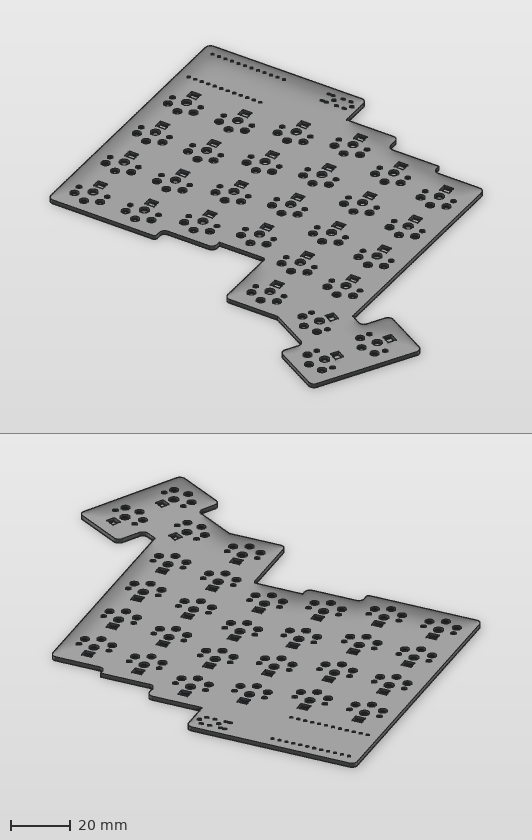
import cadquery as cq
import math

THICKNESS = 1.6
CORNER_RADIUS = 2.0
SMALL_CORNER_RADIUS = 1.0

TOP_Y = 148.39
TAB_RIGHT_X = 61.75

KEY_PITCH = 20.0
RIM = 1.0
REACH = KEY_PITCH / 2 + RIM
ROWS = 4
TOP_ROW_Y = [116.2, 116.2, 120.85, 124.35, 117.6, 114.0]
COLUMN_X = [REACH + KEY_PITCH * column for column in range(len(TOP_ROW_Y))]

UPRIGHT_THUMB = (COLUMN_X[4], 38.1)
THUMB_TILT = -30.0
NEAR_THUMB = (113.95, 32.15)
LOW_THUMB = (126.82, 14.29)

STEM_DIAMETER = 3.4
PIN_DIAMETER = 3.0
REAR_PIN_Y = -5.95
SIDE_PIN_X = 5.0
SIDE_PIN_Y = -3.75
PEG_DIAMETER = 1.9
PEG_X = 5.5
LED_Y = 4.7
LED_WIDTH = 3.6
LED_HEIGHT = 3.1

HEADER_DIAMETER = 1.09
HEADER_PITCH = 2.54
HEADER_PINS = 12
HEADER_START_X = 4.05
HEADER_LOW_Y = 129.02
HEADER_ROW_SPACING = 6 * HEADER_PITCH

JACK_AXIS_Y = 142.75
JACK_PEG_DIAMETER = 1.5
JACK_PEG_X = 59.4
JACK_PEG_SPACING = 7.0
JACK_SLOT_OFFSETS = [1.7, 4.7, 8.7, 10.25]
JACK_ROW_OFFSET = 2.2
JACK_SLOT_LENGTH = 1.5
JACK_SLOT_WIDTH = 1.0


def turned(x, y, degrees):
    """Point (x, y) turned about the origin."""
    a = math.radians(degrees)
    return (x * math.cos(a) - y * math.sin(a), x * math.sin(a) + y * math.cos(a))


def corner_arc(before, corner, after, radius):
    """Start, middle and end of the tangent arc that rounds a corner."""
    back = (before - corner).normalized()
    ahead = (after - corner).normalized()
    half_angle = back.getAngle(ahead) / 2
    setback = radius / math.tan(half_angle)
    bisector = (back + ahead).normalized()
    middle = corner + bisector * (radius / math.sin(half_angle) - radius)
    return corner + back * setback, middle, corner + ahead * setback


def rounded_outline(corners):
    """Closed wire through (point, radius) corners; a zero radius leaves the corner sharp."""
    points = [cq.Vector(*point) for point, radius in corners]
    radii = [radius for point, radius in corners]
    followers = points[1:] + points[:1]
    arcs = [
        corner_arc(points[i - 1], points[i], followers[i], radii[i])
        for i in range(len(points))
    ]
    wire = cq.Workplane("XY").moveTo(*arcs[-1][2].toTuple()[:2])
    for (start, middle, end), radius in zip(arcs, radii):
        wire = wire.lineTo(start.x, start.y)
        if radius > 0:
            wire = wire.threePointArc((middle.x, middle.y), (end.x, end.y))
    return wire.close()


def thumb_corners():
    """Outline corners around the turned thumb keys, clockwise from the plate's right edge."""
    near_x, near_y = turned(*NEAR_THUMB, -THUMB_TILT)
    low_x, low_y = turned(*LOW_THUMB, -THUMB_TILT)
    left, right = low_x - REACH, low_x + REACH
    bottom, top = low_y - REACH, low_y + KEY_PITCH + REACH
    local = [
        ((left, near_y + REACH), CORNER_RADIUS),
        ((left, top), CORNER_RADIUS),
        ((right, top), CORNER_RADIUS),
        ((right, bottom), CORNER_RADIUS),
        ((left, bottom), CORNER_RADIUS),
        ((left, near_y - REACH), CORNER_RADIUS),
    ]
    return [(turned(*point, THUMB_TILT), radius) for point, radius in local]


def plate():
    """Solid plate, its corners listed clockwise from the lower left."""
    right_of = [x + REACH for x in COLUMN_X]
    top_of = [y + REACH for y in TOP_ROW_Y]
    bottom_of = [y - (ROWS - 1) * KEY_PITCH - REACH for y in TOP_ROW_Y]
    thumb_left = UPRIGHT_THUMB[0] - REACH
    thumb_bottom = UPRIGHT_THUMB[1] - REACH
    slope = math.tan(math.radians(THUMB_TILT))
    slope_rise = REACH / math.cos(math.radians(THUMB_TILT))
    slope_top_y = NEAR_THUMB[1] + slope_rise + slope * (right_of[5] - NEAR_THUMB[0])
    slope_bottom_x = NEAR_THUMB[0] + (thumb_bottom - NEAR_THUMB[1] + slope_rise) / slope

    corners = [
        ((0, bottom_of[0]), CORNER_RADIUS),
        ((0, TOP_Y), CORNER_RADIUS),
        ((TAB_RIGHT_X, TOP_Y), CORNER_RADIUS),
        ((TAB_RIGHT_X, top_of[3]), 0),
        ((right_of[3], top_of[3]), CORNER_RADIUS),
        ((right_of[3], top_of[4]), CORNER_RADIUS),
        ((right_of[4], top_of[4]), 0),
        ((right_of[4], top_of[5]), CORNER_RADIUS),
        ((right_of[5], top_of[5]), CORNER_RADIUS),
        ((right_of[5], slope_top_y), 0),
    ]
    corners += thumb_corners()
    corners += [
        ((slope_bottom_x, thumb_bottom), 0),
        ((thumb_left, thumb_bottom), CORNER_RADIUS),
        ((thumb_left, bottom_of[3]), SMALL_CORNER_RADIUS),
        ((right_of[2], bottom_of[3]), 0),
        ((right_of[2], bottom_of[2]), CORNER_RADIUS),
        ((right_of[1], bottom_of[2]), CORNER_RADIUS),
        ((right_of[1], bottom_of[0]), SMALL_CORNER_RADIUS),
    ]
    return rounded_outline(corners).extrude(THICKNESS)


def key_places():
    """Centre and tilt of every key."""
    places = []
    for x, top_y in zip(COLUMN_X, TOP_ROW_Y):
        places += [(x, top_y - row * KEY_PITCH, 0) for row in range(ROWS)]
    places.append((*UPRIGHT_THUMB, 0))
    step_x, step_y = turned(0, KEY_PITCH, THUMB_TILT)
    high_thumb = (LOW_THUMB[0] + step_x, LOW_THUMB[1] + step_y)
    places += [(x, y, THUMB_TILT) for x, y in (NEAR_THUMB, LOW_THUMB, high_thumb)]
    return places


def round_holes(points, diameter):
    return cq.Workplane("XY").pushPoints(points).circle(diameter / 2).extrude(THICKNESS)


def switch_holes():
    """Cutter for one switch centred on the origin."""
    pins = [(0, REAR_PIN_Y), (-SIDE_PIN_X, SIDE_PIN_Y), (SIDE_PIN_X, SIDE_PIN_Y)]
    pegs = [(-PEG_X, 0), (PEG_X, 0)]
    led_window = cq.Workplane("XY").center(0, LED_Y).rect(LED_WIDTH, LED_HEIGHT).extrude(THICKNESS)
    holes = [
        round_holes([(0, 0)], STEM_DIAMETER),
        round_holes(pins, PIN_DIAMETER),
        round_holes(pegs, PEG_DIAMETER),
        led_window,
    ]
    return cq.Compound.makeCompound([hole.val() for hole in holes])


def all_switch_holes():
    switch = switch_holes()
    cutters = []
    for x, y, tilt in key_places():
        cutters.append(switch.moved(cq.Location(cq.Vector(x, y, 0), cq.Vector(0, 0, 1), tilt)))
    return cq.Workplane(cq.Compound.makeCompound(cutters))


def header_holes():
    points = []
    for pin in range(HEADER_PINS):
        x = HEADER_START_X + pin * HEADER_PITCH
        points += [(x, HEADER_LOW_Y), (x, HEADER_LOW_Y + HEADER_ROW_SPACING)]
    return round_holes(points, HEADER_DIAMETER)


def jack_pegs():
    points = [(JACK_PEG_X - JACK_PEG_SPACING * i, JACK_AXIS_Y) for i in range(2)]
    return round_holes(points, JACK_PEG_DIAMETER)


def jack_slots():
    points = []
    for offset in JACK_SLOT_OFFSETS:
        for side in (-1, 1):
            points.append((JACK_PEG_X - offset, JACK_AXIS_Y + side * JACK_ROW_OFFSET))
    sketch = cq.Workplane("XY").pushPoints(points)
    return sketch.slot2D(JACK_SLOT_LENGTH, JACK_SLOT_WIDTH).extrude(THICKNESS)


result = plate()
for cutter in (all_switch_holes(), header_holes(), jack_pegs(), jack_slots()):
    result = result.cut(cutter)